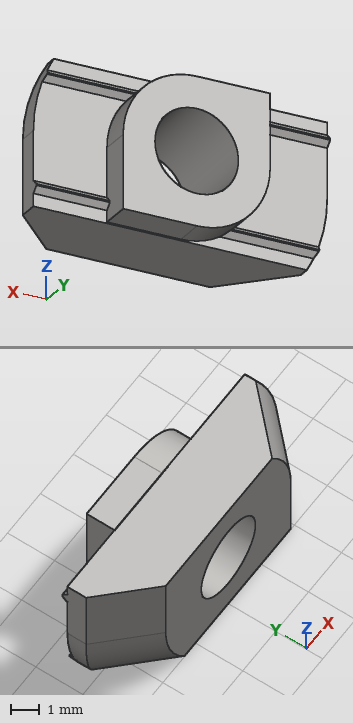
import cadquery as cq
import math


length = 11.6
height = 5.9
body_depth = 2.8
end_bevel = 2.0
end_radius = length / 2

total_depth = 4.0
boss_radius = 2.9
hole_diameter = 3.3

ridge_offset = 2.2
ridge_base = 0.5
ridge_tip = 0.06
ridge_height = (ridge_base - ridge_tip) / 2


def quarter_turn_block(half_height, radius, y_start, y_end):
    """Block with arcs at top right and bottom left and square opposite corners."""
    corner_x = math.sqrt(radius**2 - half_height**2)
    middle = math.asin(half_height / radius) / 2
    mid_x = radius * math.cos(middle)
    mid_z = radius * math.sin(middle)
    return (
        cq.Workplane("XZ", origin=(0, y_start, 0))
        .moveTo(-radius, half_height)
        .lineTo(corner_x, half_height)
        .threePointArc((mid_x, mid_z), (radius, 0))
        .lineTo(radius, -half_height)
        .lineTo(-corner_x, -half_height)
        .threePointArc((-mid_x, -mid_z), (-radius, 0))
        .close()
        .extrude(y_start - y_end)
    )


def right_bevel_envelope():
    """Space kept by the right bevel: flat below the centre line, round above it."""
    slant = cq.Plane(
        origin=(length / 2 - end_bevel, 0, 0),
        xDir=(1, -1, 0),
        normal=(-1, -1, 0),
    )
    reach = 2 * length
    arc_middle = end_radius * math.sqrt(0.5)
    return (
        cq.Workplane(slant)
        .moveTo(0, -reach)
        .lineTo(0, 0)
        .threePointArc((arc_middle - end_radius, arc_middle), (-end_radius, end_radius))
        .lineTo(-reach, end_radius)
        .lineTo(-reach, -reach)
        .close()
        .extrude(reach, both=True)
    )


def ridge(z):
    """Trapezoidal ridge along the whole length, rooted in the body and rising from its back face."""
    return (
        cq.Workplane("YZ", origin=(-length / 2, 0, z))
        .moveTo(0, -ridge_base / 2)
        .lineTo(body_depth, -ridge_base / 2)
        .lineTo(body_depth + ridge_height, -ridge_tip / 2)
        .lineTo(body_depth + ridge_height, ridge_tip / 2)
        .lineTo(body_depth, ridge_base / 2)
        .lineTo(0, ridge_base / 2)
        .close()
        .extrude(length)
    )


outline = quarter_turn_block(height / 2, end_radius, 0, total_depth)
body = quarter_turn_block(height / 2, end_radius, 0, body_depth)
for z in (-ridge_offset, ridge_offset):
    body = body.union(ridge(z).intersect(outline))

right_envelope = right_bevel_envelope()
left_envelope = right_envelope.rotate((0, 0, 0), (0, 1, 0), 180)
body = body.intersect(right_envelope).intersect(left_envelope)

boss = quarter_turn_block(boss_radius, boss_radius, body_depth, total_depth)
hole = cq.Workplane("XZ").circle(hole_diameter / 2).extrude(-total_depth)
result = body.union(boss).cut(hole)